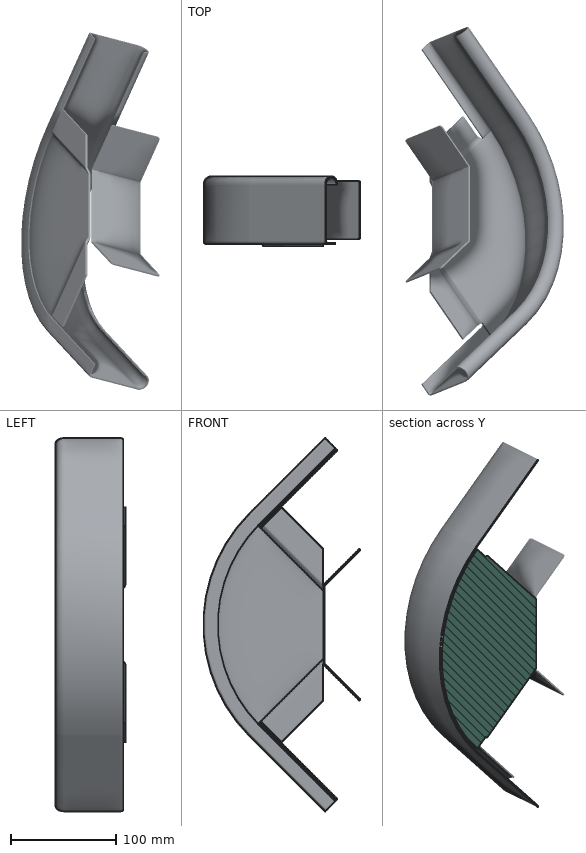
import cadquery as cq
import math

overall_height = 355.5
overall_length = 149.7
bend_angle = 45.0

band_radius = 149.5
band_width = 64.7
band_thickness = 1.5
flange_depth = 14.0
flange_bend_radius = 3.0
curl_width = 16.7
leg_length = overall_height / 2 / math.cos(math.radians(bend_angle)) - band_radius

plate_thickness = 2.0
plate_front = band_thickness
tab_front = -plate_thickness
tab_length = 26.3
tab_gap = 0.7
step_bend_radius = 2.5
half_step = (plate_front - tab_front) / 2
plate_edge_x = -35.2

strap_thickness = 1.5
strap_start = 4.5
strap_end = band_width - strap_start
strap_corner_radius = 2.5
strap_corner_z = 37.7
strap_tip_x = overall_length - band_radius


def turn_to_leg(body):
    """Turn a body from the -X direction to the place where the upper leg meets the arc."""
    return body.rotate((0, 0, 0), (0, 1, 0), bend_angle)


def with_mirror_image(body):
    """Join a body to its mirror image below Z = 0."""
    return body.union(body.mirror("XY"))


def band_section():
    """Section of the channel at -X: front flange, wall and half-round curl at the back."""
    wall_outer = -band_radius
    wall_inner = wall_outer + band_thickness
    flange_edge = wall_outer + flange_depth
    bend_x = wall_outer + flange_bend_radius
    bend_inner_radius = flange_bend_radius - band_thickness
    diagonal = math.sqrt(0.5)
    curl_radius = curl_width / 2
    curl_x = wall_outer + curl_radius
    curl_y = band_width - curl_radius
    lip_outer = wall_outer + curl_width
    return (
        cq.Workplane("XY")
        .moveTo(flange_edge, 0)
        .lineTo(bend_x, 0)
        .threePointArc(
            (bend_x - flange_bend_radius * diagonal, flange_bend_radius * (1 - diagonal)),
            (wall_outer, flange_bend_radius),
        )
        .lineTo(wall_outer, curl_y)
        .threePointArc((curl_x, band_width), (lip_outer, curl_y))
        .lineTo(lip_outer - band_thickness, curl_y)
        .threePointArc((curl_x, band_width - band_thickness), (wall_inner, curl_y))
        .lineTo(wall_inner, flange_bend_radius)
        .threePointArc(
            (bend_x - bend_inner_radius * diagonal, flange_bend_radius - bend_inner_radius * diagonal),
            (bend_x, band_thickness),
        )
        .lineTo(flange_edge, band_thickness)
        .close()
    )


def make_band():
    arc = band_section().revolve(bend_angle, (0, 0, 0), (0, 1, 0))
    leg = turn_to_leg(band_section().extrude(leg_length))
    return with_mirror_image(arc.union(leg))


def make_tab():
    """Sheet that ramps forward at 45 degrees from the plate and carries on as a flat tab."""
    bend_shift = plate_thickness * math.tan(math.radians(bend_angle / 2))
    plate_back = plate_front + plate_thickness
    tab_back = tab_front + plate_thickness
    inner_end = -band_radius + curl_width + tab_gap
    tab = (
        cq.Workplane("YZ", origin=(inner_end, 0, 0))
        .polyline([
            (plate_front, -2 * half_step),
            (plate_front, -half_step),
            (tab_front, half_step),
            (tab_front, tab_length),
            (tab_back, tab_length),
            (tab_back, half_step + bend_shift),
            (plate_back, bend_shift - half_step),
            (plate_back, -2 * half_step),
        ])
        .close()
        .extrude(-inner_end)
    )
    for y, z in [(tab_front, half_step), (plate_back, bend_shift - half_step)]:
        outer_bend = cq.selectors.NearestToPointSelector((inner_end / 2, y, z))
        tab = tab.edges(outer_bend).fillet(step_bend_radius)
    return turn_to_leg(tab)


def make_plate():
    """Flat sector up to the foot of each ramp, joined to both tabs and cut straight at +X."""
    sector_tip = -half_step / math.sin(math.radians(bend_angle))
    disc = (
        cq.Workplane("XZ", origin=(0, plate_front, 0))
        .circle(band_radius - flange_bend_radius)
        .extrude(-plate_thickness)
    )
    sector = (
        cq.Workplane("XZ", origin=(sector_tip, plate_front, 0))
        .polyline([(0, 0), (-band_radius, band_radius), (-band_radius, -band_radius)])
        .close()
        .extrude(-plate_thickness)
    )
    beyond_edge = (
        cq.Workplane("XY", origin=(plate_edge_x, 0, 0))
        .box(band_radius, band_width, overall_height, centered=(False, True, True))
    )
    return disc.intersect(sector).union(with_mirror_image(make_tab())).cut(beyond_edge)


def make_strap():
    outer_x = plate_edge_x + strap_thickness
    outer_corner_z = strap_corner_z - strap_thickness * math.tan(math.radians(bend_angle / 2))
    outer_tip_z = outer_corner_z + strap_tip_x - outer_x
    tip_shift = strap_thickness * math.sin(math.radians(bend_angle))
    upper_half = [
        (outer_x, outer_corner_z),
        (strap_tip_x, outer_tip_z),
        (strap_tip_x - tip_shift, outer_tip_z + tip_shift),
        (plate_edge_x, strap_corner_z),
    ]
    lower_half = [(x, -z) for x, z in reversed(upper_half)]
    strap = (
        cq.Workplane("XZ", origin=(0, strap_start, 0))
        .polyline(upper_half + lower_half)
        .close()
        .extrude(strap_start - strap_end)
    )
    tip_x = strap_tip_x - tip_shift / 2
    tip_z = outer_tip_z + tip_shift / 2
    for y in (strap_start, strap_end):
        for z in (tip_z, -tip_z):
            corner = cq.selectors.NearestToPointSelector((tip_x, y, z))
            strap = strap.edges(corner).fillet(strap_corner_radius)
    return strap


band = make_band()
plate = make_plate()
strap = make_strap()

result = cq.Compound.makeCompound([band.val(), plate.val(), strap.val()])